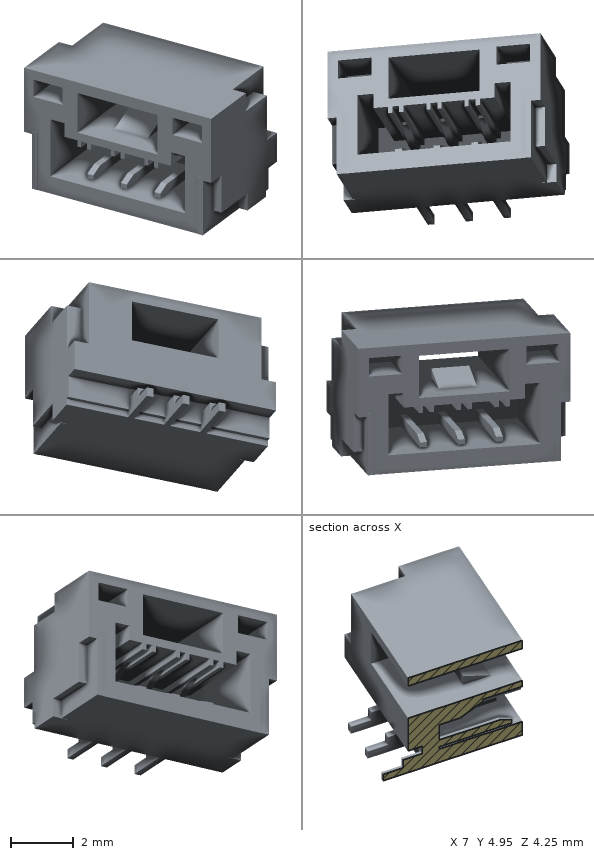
import cadquery as cq


width = 7.0
height = 4.25
body_depth = 4.05
half_width = width / 2

cavity_half_width = 2.51
cavity_floor = 0.615
cavity_top = 2.66
cavity_depth = 2.94
lip_half_width = 1.995
lip_bottom = 2.17

pitch = 1.25
contact_positions = (-pitch, 0, pitch)
contact_width = 0.225
guide_width = 0.505
guide_bottom = 1.95

window_width = 2.995
window_bottom = 2.45
window_top = 3.865
ramp_width = 1.25
ramp_height = 0.4
ramp_start = 0.825
ramp_length = 0.98

pocket_width = 1.09
pocket_center = 2.605
pocket_bottom = 3.3
pocket_top = 3.91
pocket_depth = 1.4

notch_width = 0.5
notch_upper_start = 2.14
notch_upper_bottom = 3.605
notch_rear_start = 3.44
notch_rear_bottom = 2.0

recess_width = 0.31
recess_front_depth = 0.64
recess_front_top = 1.95
recess_lower_depth = 2.24
recess_lower_top = 0.615
nail_thickness = 0.19
nail_height = 2.07
nail_protrusion = 0.015
nail_gap = 0.02
nail_gap_height = 0.38

step_start = 3.535
step_height = 0.965
toe_start = 3.395
toe_height = 0.21

arm_tip = 0.38
arm_slope_end = 0.8
arm_bottom = 0.685
arm_tip_top = 0.85
arm_top = 1.02
upper_tip = 1.4
upper_slope_end = 2.205
upper_tip_bottom = 2.07
upper_bottom = 1.67
stem_front = cavity_depth
stem_back = 3.555
tail_shoulder = 4.22
tail_shoulder_height = 0.66
tail_end = 4.935
tail_height = 0.31


def block(x_range, y_range, z_range):
    """Box spanning the given limits along each axis."""
    x0, x1 = x_range
    y0, y1 = y_range
    z0, z1 = z_range
    return cq.Workplane("XY").box(x1 - x0, y1 - y0, z1 - z0, centered=False).translate((x0, y0, z0))


def centered_block(x_center, x_size, y_range, z_range):
    """Box centered on x_center along X."""
    return block((x_center - x_size / 2, x_center + x_size / 2), y_range, z_range)


def yz_plate(points, thickness, x_center):
    """Plate with a profile in the YZ plane, centered on x_center."""
    plate = cq.Workplane("YZ").polyline(points).close().extrude(thickness / 2, both=True)
    return plate.translate((x_center, 0, 0))


def both_sides(shape):
    """The shape together with its mirror image across X = 0."""
    return shape.union(shape.mirror("YZ"))


def make_cavity():
    cavity_y = (0, cavity_depth)
    cavity = centered_block(0, 2 * cavity_half_width, cavity_y, (cavity_floor, cavity_top))
    lip = centered_block(0, 2 * lip_half_width, cavity_y, (lip_bottom, cavity_top))
    cavity = cavity.cut(lip)
    for x in contact_positions:
        guide = centered_block(x, guide_width, cavity_y, (guide_bottom, lip_bottom))
        slot = centered_block(x, contact_width, cavity_y, (guide_bottom, lip_bottom))
        cavity = cavity.cut(guide.cut(slot))
    return cavity


def make_window():
    return centered_block(0, window_width, (0, body_depth), (window_bottom, window_top))


def make_pockets():
    return both_sides(
        centered_block(pocket_center, pocket_width, (0, pocket_depth), (pocket_bottom, pocket_top))
    )


def make_rear_notches():
    x_range = (half_width - notch_width, half_width)
    upper = block(x_range, (notch_upper_start, body_depth), (notch_upper_bottom, height))
    rear = block(x_range, (notch_rear_start, body_depth), (notch_rear_bottom, height))
    return both_sides(upper.union(rear))


def make_side_recesses():
    x_range = (half_width - recess_width, half_width)
    front = block(x_range, (0, recess_front_depth), (0, recess_front_top))
    lower = block(x_range, (0, recess_lower_depth), (0, recess_lower_top))
    return both_sides(front.union(lower))


def make_nail_gaps():
    """Narrow clearance in the housing at the rear end of each nail."""
    outer_x = half_width - recess_width
    return both_sides(
        block(
            (outer_x - nail_thickness, outer_x),
            (recess_lower_depth - nail_gap, recess_lower_depth),
            (0, nail_gap_height),
        )
    )


def make_rear_step():
    step = block((-half_width, half_width), (step_start, body_depth), (0, step_height))
    toe = block((-half_width, half_width), (toe_start, body_depth), (0, toe_height))
    return step.union(toe)


def make_latch_ramp():
    ramp_end = ramp_start + ramp_length
    profile = [
        (ramp_start, window_bottom),
        (ramp_end, window_bottom + ramp_height),
        (ramp_end, window_bottom),
    ]
    return yz_plate(profile, ramp_width, 0)


def make_nails():
    outer_x = half_width - recess_width
    return both_sides(
        block((outer_x - nail_thickness, outer_x), (-nail_protrusion, recess_front_depth), (0, nail_height))
    )


def make_contact(x_center):
    """Forked contact: two arms reaching into the cavity, a stem in the rear wall and a solder tail."""
    profile = [
        (stem_front, arm_bottom),
        (arm_tip, arm_bottom),
        (arm_tip, arm_tip_top),
        (arm_slope_end, arm_top),
        (stem_front, arm_top),
        (stem_front, upper_bottom),
        (upper_slope_end, upper_bottom),
        (upper_tip, upper_tip_bottom),
        (upper_tip, lip_bottom),
        (stem_back, lip_bottom),
        (stem_back, tail_shoulder_height),
        (tail_shoulder, tail_shoulder_height),
        (tail_shoulder, tail_height),
        (tail_end, tail_height),
        (tail_end, 0),
        (stem_front, 0),
    ]
    return yz_plate(profile, contact_width, x_center)


result = block((-half_width, half_width), (0, body_depth), (0, height))
for removed in (
    make_cavity(),
    make_window(),
    make_pockets(),
    make_rear_notches(),
    make_side_recesses(),
    make_nail_gaps(),
    make_rear_step(),
):
    result = result.cut(removed)

result = result.union(make_latch_ramp()).union(make_nails())
for x in contact_positions:
    result = result.union(make_contact(x))